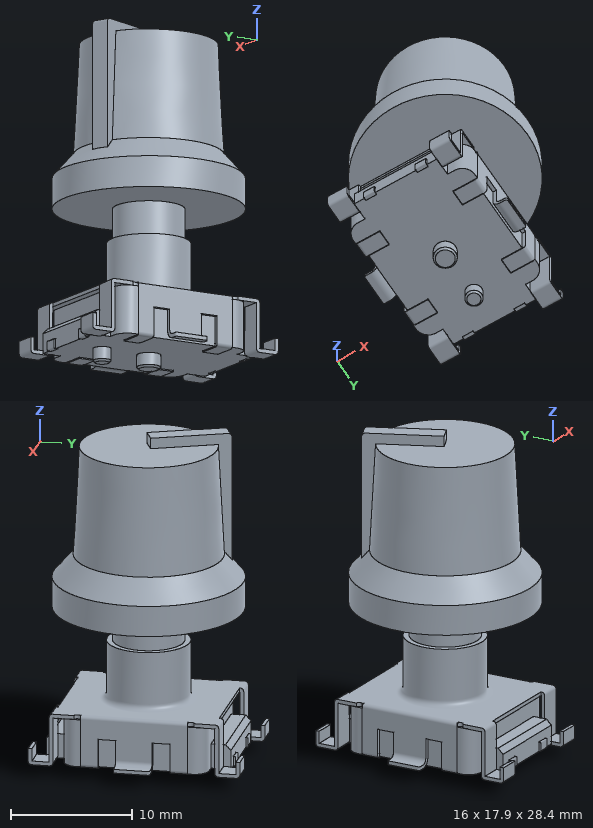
import cadquery as cq
import math


sheet = 0.35
bend_radius = 0.3
bracket_width = 11.81
flap_outer_x = bracket_width / 2
bracket_top = 4.43
foot_drop = 0.1
plate_bottom = bracket_top - sheet
bracket_bottom = -foot_drop

leg_width = 1.9
leg_outer_y = 7.15
leg_inner_y = leg_outer_y - sheet
leg_inner_x = flap_outer_x - leg_width
foot_span = 17.85
foot_end_y = foot_span / 2
foot_lip_top = 1.3

flap_inner_x = flap_outer_x - sheet
flap_length = 9.03
flap_end_y = flap_length / 2
relief_radius = 0.27

flap_slot_inner_y = 1.53
flap_slot_outer_y = 3.05
flap_slot_top = 2.5

clinch_end_x = 3.55
clinch_top = bracket_bottom + sheet

lip_bend_radius = 0.43
lip_end_x = 6.93
lip_corner_radius = 0.17

bush_diameter = 7.0
bush_top = 9.49
bush_root_radius = 0.5

shaft_diameter = 6.0
shaft_top = 24.15

housing_length = 12.2
housing_corner_radius = 1.22
ledge_length = 15.55
ledge_height = 2.13
ledge_chamfer = 0.45
pin_length = 1.2
centre_pin_diameter = 2.0
side_pin_diameter = 1.5
side_pin_y = 4.5
pin_chamfer = 0.17

terminal_width = 1.05
terminal_height = 0.85
terminal_thickness = 0.4
terminal_x = 2.5
terminal_outer_y = 7.95
terminal_round = 0.1

knob_bottom = 12.38
flange_top = 15.0
cone_bottom = 16.95
knob_top = 26.3
flange_diameter = 16.0
cone_bottom_diameter = 12.5
cone_top_diameter = 11.5
pointer_width = 1.53
pointer_reach = 6.87
pointer_top = 27.2
pointer_round = 0.35
pointer_angle = 23.2


def block(x0, x1, y0, y1, z0, z1):
    """Box between two opposite corners."""
    return cq.Workplane("XY").box(x1 - x0, y1 - y0, z1 - z0, centered=False).translate((x0, y0, z0))


def cylinder(diameter, z0, z1, y=0.0):
    """Upright cylinder on the plane x = 0."""
    return cq.Workplane("XY", origin=(0, y, z0)).circle(diameter / 2).extrude(z1 - z0)


def on_both_sides(shape, plane):
    """The shape together with its mirror image in a plane through the origin."""
    return shape.union(shape.mirror(plane))


def in_four_corners(shape):
    """The shape at +X +Y and its mirror images in the other three corners."""
    return on_both_sides(on_both_sides(shape, "XZ"), "YZ")


def make_leg():
    """Leg at +X +Y: out from the plate, down, out along the foot and up to the foot lip."""
    points = [
        (flap_end_y, bracket_top),
        (leg_outer_y, bracket_top),
        (leg_outer_y, clinch_top),
        (foot_end_y - sheet, clinch_top),
        (foot_end_y - sheet, foot_lip_top),
        (foot_end_y, foot_lip_top),
        (foot_end_y, bracket_bottom),
        (leg_inner_y, bracket_bottom),
        (leg_inner_y, plate_bottom),
        (flap_end_y, plate_bottom),
    ]
    leg = cq.Workplane("YZ", origin=(leg_inner_x, 0, 0)).polyline(points).close().extrude(leg_width)
    middle_x = leg_inner_x + leg_width / 2
    for y, z in [(leg_outer_y, bracket_top), (foot_end_y, bracket_bottom), (leg_inner_y, bracket_bottom)]:
        leg = leg.edges(cq.selectors.NearestToPointSelector((middle_x, y, z))).fillet(bend_radius)
    return leg


def make_clinch():
    """Flap strip at +X +Y whose end folds under the housing, rounded on the outside of the bend."""
    strip = block(flap_inner_x, flap_outer_x, flap_slot_outer_y, flap_end_y, bracket_bottom, flap_slot_top)
    tab = block(clinch_end_x, flap_outer_x, flap_slot_outer_y, flap_end_y, bracket_bottom, clinch_top)
    return strip.union(tab).edges("|Y and >X and <Z").fillet(bend_radius)


def make_flap():
    """Flap on the +X side: a wall bent down from the plate, two folded tabs and an outward lip."""
    wall = block(flap_inner_x, flap_outer_x, -flap_end_y, flap_end_y, flap_slot_top, bracket_top)
    wall = wall.edges("|Y and >X and >Z").fillet(bend_radius)
    bend_z = sheet + lip_bend_radius
    tongue = block(flap_inner_x, flap_outer_x, -flap_slot_inner_y, flap_slot_inner_y, bend_z, flap_slot_top)
    return wall.union(tongue).union(make_lip(bend_z)).union(on_both_sides(make_clinch(), "XZ"))


def make_lip(bend_z):
    """Lip that curves outward from the middle of the +X flap, with rounded corners at its end."""
    bend_x = flap_outer_x + lip_bend_radius
    diagonal = math.sqrt(0.5)
    inner_reach = lip_bend_radius * diagonal
    outer_reach = (lip_bend_radius + sheet) * diagonal
    lip = (
        cq.Workplane("XZ", origin=(0, flap_slot_inner_y, 0))
        .moveTo(flap_outer_x, bend_z)
        .threePointArc((bend_x - inner_reach, bend_z - inner_reach), (bend_x, sheet))
        .lineTo(lip_end_x, sheet)
        .lineTo(lip_end_x, 0)
        .lineTo(bend_x, 0)
        .threePointArc((bend_x - outer_reach, bend_z - outer_reach), (flap_inner_x, bend_z))
        .close()
        .extrude(2 * flap_slot_inner_y)
    )
    return lip.edges("|Z and >X").fillet(lip_corner_radius)


def make_bracket():
    """Plate with four legs, two flaps and a hollow bushing."""
    plate = block(-flap_inner_x, flap_inner_x, -leg_inner_y, leg_inner_y, plate_bottom, bracket_top)
    legs = in_four_corners(make_leg())
    reliefs = (
        cq.Workplane("XY", origin=(0, 0, plate_bottom))
        .rect(2 * flap_outer_x, flap_length + 2 * relief_radius, forConstruction=True)
        .vertices()
        .circle(relief_radius)
        .extrude(sheet)
    )
    flaps = on_both_sides(make_flap(), "YZ")
    body = plate.union(legs).cut(reliefs).union(flaps)

    bush = cylinder(bush_diameter, plate_bottom, bush_top)
    body = body.union(bush)
    root = cq.selectors.NearestToPointSelector((0, 0, bracket_top))
    body = body.edges(root).fillet(bush_root_radius)
    return body.cut(cylinder(shaft_diameter, plate_bottom, bush_top))


def make_pin(diameter, y):
    """Locating pin below the housing, chamfered at its end."""
    return cylinder(diameter, -pin_length, 0, y).faces("<Z").chamfer(pin_chamfer)


def make_housing():
    """Rounded body with a ledge at each end, recessed for the bracket and the terminals."""
    body = (
        cq.Workplane("XY")
        .rect(bracket_width, housing_length)
        .extrude(plate_bottom)
        .edges("|Z")
        .fillet(housing_corner_radius)
    )
    ledge = (
        cq.Workplane("XY")
        .rect(2 * leg_inner_x, ledge_length)
        .extrude(ledge_height)
        .edges("|X and >Z")
        .chamfer(ledge_chamfer)
    )
    body = body.union(ledge)

    flap_recess = block(flap_inner_x, flap_outer_x, -flap_end_y, flap_end_y, 0, plate_bottom)
    clinch_recess = block(clinch_end_x, flap_inner_x, flap_slot_outer_y, flap_end_y, 0, clinch_top)
    body = body.cut(on_both_sides(flap_recess, "YZ")).cut(in_four_corners(clinch_recess))
    for terminal in make_terminals():
        body = body.cut(terminal)

    return body.union(make_pin(centre_pin_diameter, 0)).union(make_pin(side_pin_diameter, side_pin_y))


def make_terminals():
    """Four contact blocks, two in each ledge face, with the outer top and bottom edges rounded."""
    terminals = []
    for side_x in (-1, 1):
        for side_y in (-1, 1):
            centre_y = side_y * (terminal_outer_y - terminal_thickness / 2)
            terminal = (
                cq.Workplane("XY", origin=(side_x * terminal_x, centre_y, 0))
                .rect(terminal_width, terminal_thickness)
                .extrude(terminal_height)
            )
            outer_edges = terminal.faces(">Y" if side_y > 0 else "<Y").edges("|X")
            terminals.append(outer_edges.fillet(terminal_round))
    return terminals


def make_shaft():
    """Round shaft from the housing top, through the bushing and into the knob."""
    return cylinder(shaft_diameter, plate_bottom, shaft_top)


def make_pointer():
    """Bar from the axis outward along +Y, rounded where its top meets its outer end."""
    half_width = pointer_width / 2
    bar = block(-half_width, half_width, 0, pointer_reach, flange_top, pointer_top)
    bar = bar.edges("|X and >Y and >Z").fillet(pointer_round)
    return bar.rotate((0, 0, 0), (0, 0, 1), pointer_angle)


def make_knob():
    """Flanged, tapered knob with its pointer and a blind bore for the shaft."""
    profile = [
        (0, knob_bottom),
        (flange_diameter / 2, knob_bottom),
        (flange_diameter / 2, flange_top),
        (cone_bottom_diameter / 2, cone_bottom),
        (cone_top_diameter / 2, knob_top),
        (0, knob_top),
    ]
    knob = cq.Workplane("XZ").polyline(profile).close().revolve(360, (0, 0, 0), (0, 1, 0))
    return knob.union(make_pointer()).cut(cylinder(shaft_diameter, knob_bottom, shaft_top))


bracket = make_bracket()
housing = make_housing()
shaft = make_shaft()
knob = make_knob()
terminals = make_terminals()

result = cq.Compound.makeCompound(
    [bracket.val(), housing.val(), shaft.val(), knob.val()] + [terminal.val() for terminal in terminals]
)